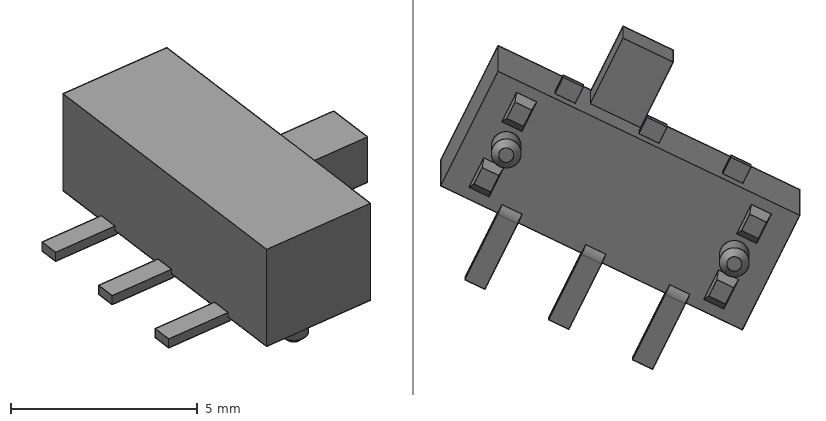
import cadquery as cq
import math

housing_length = 9.0
housing_depth = 3.5
housing_height = 3.2
front_y = -housing_depth / 2
back_y = housing_depth / 2

knob_size = 1.5
knob_reach = 2.0
knob_x = 1.0
knob_base_z = 1.45

terminal_pitch = 2.5
terminal_positions = [-terminal_pitch, 0.0, terminal_pitch]
terminal_width = 0.6
terminal_thickness = 0.3
lead_reach = 2.0
lead_top_z = terminal_thickness / 2
lead_bottom_z = -terminal_thickness / 2
stub_reach = 0.5
stub_base_z = 0.6

peg_x = 3.4
peg_diameter = 0.8
peg_length = 1.1
peg_chamfer = 0.2

foot_x = 3.5
foot_y = 1.0
foot_height = 0.3
foot_top_width = 0.6
foot_top_depth = 0.9
foot_tip_width = 0.5
foot_tip_depth = 0.5


def make_housing():
    return cq.Workplane("XY").box(
        housing_length, housing_depth, housing_height, centered=(True, True, False)
    )


def make_back_bar(x, base_z, width, height, reach):
    """Rectangular bar standing straight out of the back face."""
    bar = cq.Workplane("XY").box(width, reach, height, centered=(True, False, False))
    return bar.translate((x, back_y, base_z))


def make_lead(x):
    """Flat lead; its lower edge curves up into the housing as a quarter bend."""
    bend_radius = terminal_thickness
    bend_middle = bend_radius * math.sqrt(0.5)
    tip_y = front_y - lead_reach
    profile = (
        cq.Workplane("YZ")
        .moveTo(tip_y, lead_bottom_z)
        .lineTo(front_y, lead_bottom_z)
        .threePointArc(
            (front_y + bend_middle, lead_top_z - bend_middle),
            (front_y + bend_radius, lead_top_z),
        )
        .lineTo(tip_y, lead_top_z)
        .close()
    )
    return profile.extrude(terminal_width / 2, both=True).translate((x, 0, 0))


def make_peg(x):
    peg = cq.Workplane("XY").circle(peg_diameter / 2).extrude(-peg_length)
    return peg.faces("<Z").chamfer(peg_chamfer).translate((x, 0, 0))


def make_foot(x, y):
    foot = (
        cq.Workplane("XY")
        .rect(foot_top_width, foot_top_depth)
        .workplane(offset=-foot_height)
        .rect(foot_tip_width, foot_tip_depth)
        .loft(ruled=True)
    )
    return foot.translate((x, y, 0))


result = make_housing()
result = result.union(make_back_bar(knob_x, knob_base_z, knob_size, knob_size, knob_reach))

for terminal_x in terminal_positions:
    result = result.union(make_lead(terminal_x))
    stub = make_back_bar(terminal_x, stub_base_z, terminal_width, terminal_thickness, stub_reach)
    result = result.union(stub)

for side in (-1, 1):
    result = result.union(make_peg(side * peg_x))
    for end in (-1, 1):
        result = result.union(make_foot(side * foot_x, end * foot_y))